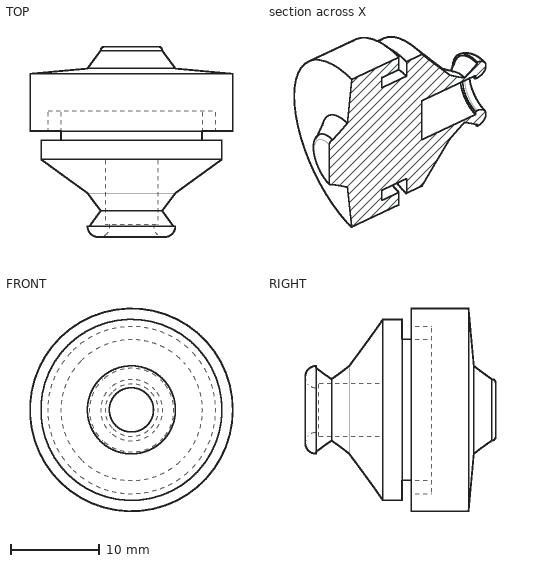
import cadquery as cq

body_radius = 11.5
flange_radius = 10.25
groove_radius = 8.0
cone_radius = 5.0
neck_radius = 3.5
lip_radius = 5.0
lip_back_radius = 4.75
bore_radius = 2.5
inner_bore_radius = 3.0
recess_radius = 9.5

lip_length = (lip_radius - bore_radius) / 2
neck_y = 3.0
cone_y = 5.0
flange_front_y = 8.8
flange_back_y = 11.0
body_front_y = 12.0
body_back_y = 18.52
taper_end_y = 19.11
cap_round = 0.45
length = 21.6
mouth_length = 0.25
bore_step_y = lip_length + mouth_length
bore_depth = flange_front_y
recess_depth = 2.3

lip_crest_radius = (lip_radius + bore_radius) / 2
diagonal = 0.5 ** 0.5


def make_profile():
    """Half section in the XY plane; X is the radius."""
    cap_round_y = length - cap_round
    return (
        cq.Workplane("XY")
        .moveTo(0, bore_depth)
        .lineTo(inner_bore_radius, bore_depth)
        .lineTo(inner_bore_radius, bore_step_y)
        .lineTo(bore_radius, bore_step_y)
        .lineTo(bore_radius, lip_length)
        .threePointArc((lip_crest_radius, 0), (lip_radius, lip_length))
        .lineTo(lip_back_radius, lip_length)
        .lineTo(neck_radius, neck_y)
        .lineTo(cone_radius, cone_y)
        .lineTo(flange_radius, flange_front_y)
        .lineTo(flange_radius, flange_back_y)
        .lineTo(groove_radius, flange_back_y)
        .lineTo(groove_radius, body_front_y + recess_depth)
        .lineTo(recess_radius, body_front_y + recess_depth)
        .lineTo(recess_radius, body_front_y)
        .lineTo(body_radius, body_front_y)
        .lineTo(body_radius, body_back_y)
        .lineTo(cone_radius, taper_end_y)
        .lineTo(neck_radius, cap_round_y)
        .threePointArc(
            (neck_radius - cap_round * (1 - diagonal), cap_round_y + cap_round * diagonal),
            (neck_radius - cap_round, length),
        )
        .lineTo(0, length)
        .close()
    )


result = make_profile().revolve(360, (0, 0, 0), (0, 1, 0))